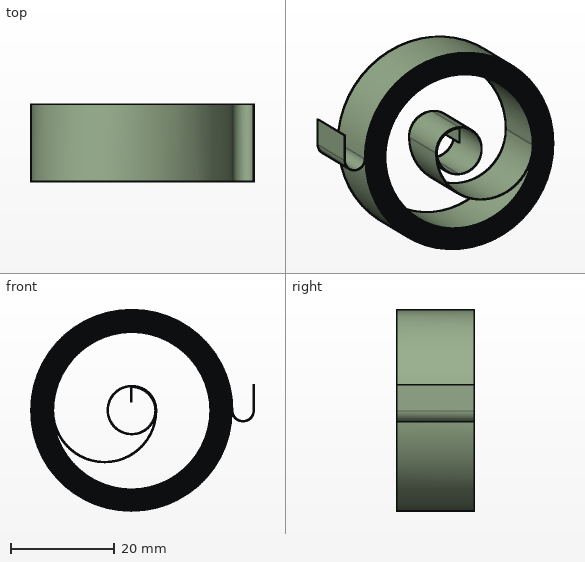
import cadquery as cq
import math

strip_width = 15.0
winding_pitch = 0.15
winding_clearance = 0.001
strip_thickness = winding_pitch - winding_clearance

coil_outer_radius = 19.5
full_turns = 28

hub_radius = 4.65
tab_length = 3.0

hook_inner_radius = 2.0
hook_straight_length = 5.0

RIGHT, TOP, LEFT, BOTTOM = 0, 90, 180, 270



def arc_point(arc, depth, fraction):
    """Point a fraction of the way along an arc, at a depth below the strip's outer face."""
    centre_x, centre_z, outer_face_radius, start, end = arc
    clockwise = end < start
    radius = outer_face_radius - depth if clockwise else outer_face_radius + depth
    angle = math.radians(start + fraction * (end - start))
    return (centre_x + radius * math.cos(angle), centre_z + radius * math.sin(angle))


def hub_arcs():
    """Hub laps from the tab at the top, once round and on to the right-hand side."""
    second_lap_radius = hub_radius + winding_pitch
    left_radius = (hub_radius + second_lap_radius) / 2
    left_centre_z = (second_lap_radius - hub_radius) / 2
    return [
        (0, 0, hub_radius, TOP, BOTTOM - 360),
        (0, left_centre_z, left_radius, BOTTOM, TOP),
        (0, 0, second_lap_radius, TOP, RIGHT),
    ]


def lower_semicircle(right_x, left_x):
    """Semicircle below the X axis, from right to left."""
    return ((right_x + left_x) / 2, 0, (right_x - left_x) / 2, RIGHT, LEFT - 360)


def coil_arcs():
    """Sweep from the hub out to the coil, then all turns from the innermost to the outermost."""
    innermost_radius = coil_outer_radius - full_turns * winding_pitch
    arcs = [lower_semicircle(hub_radius + winding_pitch, -innermost_radius)]
    for turn in range(full_turns):
        radius = innermost_radius + turn * winding_pitch
        arcs.append((0, 0, radius, LEFT, RIGHT))
        arcs.append(lower_semicircle(radius, -radius - winding_pitch))
    arcs.append((0, 0, coil_outer_radius, LEFT, RIGHT))
    return arcs


def hook_arc():
    """Half turn that bends the outer end away from the coil and back up."""
    return (coil_outer_radius + hook_inner_radius, 0, hook_inner_radius, LEFT, LEFT + 180)


def strip_profile():
    """Closed outline of the strip's edge, parallel to the XZ plane."""
    arcs = hub_arcs() + coil_arcs() + [hook_arc()]
    hub_inner_radius = hub_radius - strip_thickness
    tab_end_z = hub_radius - tab_length
    bend_offset = strip_thickness * math.sqrt(0.5)
    hook_tip_x = coil_outer_radius + 2 * hook_inner_radius

    path = cq.Workplane("XZ", origin=(0, strip_width / 2, 0)).moveTo(0, tab_end_z)
    path = path.lineTo(-strip_thickness, tab_end_z)
    path = path.lineTo(-strip_thickness, hub_inner_radius)
    path = path.threePointArc((-bend_offset, hub_inner_radius + bend_offset), (0, hub_radius))

    for arc in arcs:
        path = path.threePointArc(arc_point(arc, 0, 0.5), arc_point(arc, 0, 1))

    path = path.lineTo(hook_tip_x, hook_straight_length)
    path = path.lineTo(hook_tip_x + strip_thickness, hook_straight_length)
    path = path.lineTo(hook_tip_x + strip_thickness, 0)

    for arc in reversed(arcs):
        path = path.threePointArc(arc_point(arc, strip_thickness, 0.5), arc_point(arc, strip_thickness, 0))
    return path.close()


result = strip_profile().extrude(strip_width)